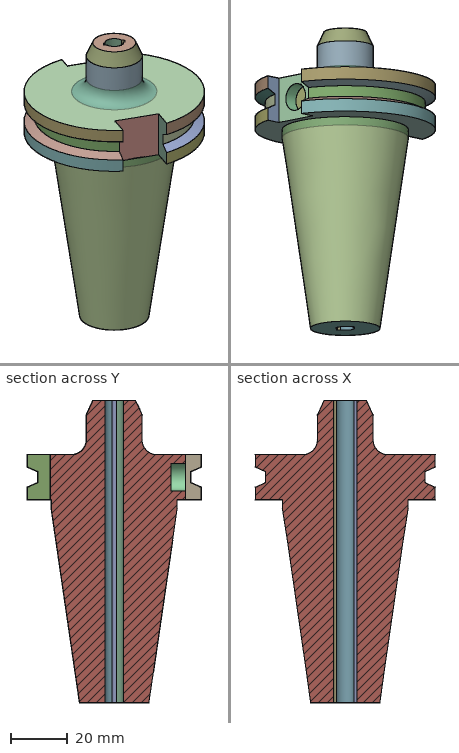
import cadquery as cq

total_height = 106.4
taper_length = 68.4
flange_bottom = 71.4
flange_top = 87.3
flange_middle = (flange_bottom + flange_top) / 2

gauge_radius = 22.2
small_end_radius = gauge_radius - taper_length * 7 / 24 / 2

flange_radius = 31.75
groove_root_radius = 28.2
groove_mouth_width = 7.0
groove_root_width = 3.8

nose_radius = 9.9
tip_radius = 7.5
tip_length = 5.1
root_fillet = 5.1

slot_width = 16.4
left_floor_distance = 25.1
right_floor_distance = 22.5
pocket_diameter = 9.6
pocket_depth = 5.1

bore_radius = 3.2
channel_radius = 0.9
channel_offset = bore_radius


def revolved_body():
    """Shank, flange and nose as one profile turned about Z."""
    half_mouth = groove_mouth_width / 2
    half_root = groove_root_width / 2
    profile = (
        cq.Workplane("XZ")
        .lineTo(small_end_radius, 0)
        .lineTo(gauge_radius, taper_length)
        .lineTo(gauge_radius, flange_bottom)
        .lineTo(flange_radius, flange_bottom)
        .lineTo(flange_radius, flange_middle - half_mouth)
        .lineTo(groove_root_radius, flange_middle - half_root)
        .lineTo(groove_root_radius, flange_middle + half_root)
        .lineTo(flange_radius, flange_middle + half_mouth)
        .lineTo(flange_radius, flange_top)
        .lineTo(nose_radius + root_fillet, flange_top)
        .radiusArc((nose_radius, flange_top + root_fillet), root_fillet)
        .lineTo(nose_radius, total_height - tip_length)
        .lineTo(tip_radius, total_height)
        .lineTo(0, total_height)
        .close()
    )
    return profile.revolve(360, (0, 0, 0), (0, 1, 0))


def drive_slot(side, floor_distance):
    """Slot on the +X (side = 1) or -X (side = -1) flank of the flange."""
    slot_depth = flange_radius - floor_distance
    slot = cq.Workplane("XY").box(slot_depth, slot_width, flange_top - flange_bottom)
    return slot.translate((side * (floor_distance + slot_depth / 2), 0, flange_middle))


def floor_pocket():
    """Blind round pocket sunk into the floor of the -X slot."""
    return (
        cq.Workplane("YZ", origin=(-left_floor_distance, 0, flange_middle))
        .circle(pocket_diameter / 2)
        .extrude(pocket_depth)
    )


def bore():
    """Through bore with a channel on its +Y and -Y sides."""
    channels = (
        cq.Workplane("XY")
        .pushPoints([(0, channel_offset), (0, -channel_offset)])
        .circle(channel_radius)
        .extrude(total_height)
    )
    return cq.Workplane("XY").circle(bore_radius).extrude(total_height).union(channels)


result = (
    revolved_body()
    .cut(drive_slot(-1, left_floor_distance))
    .cut(drive_slot(1, right_floor_distance))
    .cut(floor_pocket())
    .cut(bore())
)